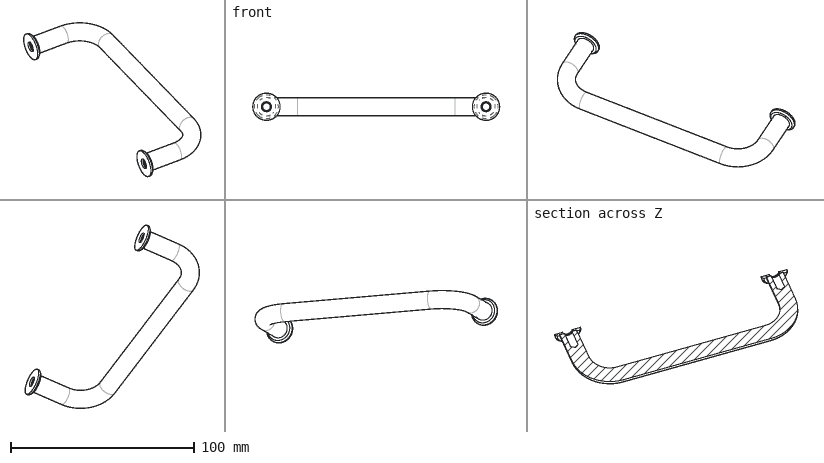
import cadquery as cq
import math

foot_spacing = 120.0
bar_diameter = 10.0
bend_radius = 17.0
overall_depth = 43.0

washer_diameter = 15.0
washer_thickness = 2.0
washer_chamfer = 1.0
washer_bore = 5.5
washer_recess_depth = 1.0

thread_diameter = 5.0
thread_core_diameter = 4.134
screw_hole_depth = 10.0
drill_point_angle = 118.0

foot_x = foot_spacing / 2
foot_positions = [-foot_x, foot_x]
foot_y = washer_thickness - washer_recess_depth
bar_y = overall_depth - bar_diameter / 2
bend_start_x = foot_x - bend_radius
bend_start_y = bar_y - bend_radius


def make_bent_bar():
    """Sweep the round bar section along the U-shaped centreline."""
    bend_mid_offset = bend_radius * math.sin(math.radians(45))
    bend_mid_x = bend_start_x + bend_mid_offset
    bend_mid_y = bend_start_y + bend_mid_offset
    centreline = (
        cq.Workplane("XY")
        .moveTo(-foot_x, foot_y)
        .lineTo(-foot_x, bend_start_y)
        .threePointArc((-bend_mid_x, bend_mid_y), (-bend_start_x, bar_y))
        .lineTo(bend_start_x, bar_y)
        .threePointArc((bend_mid_x, bend_mid_y), (foot_x, bend_start_y))
        .lineTo(foot_x, foot_y)
    )
    section = cq.Workplane("XZ", origin=(-foot_x, foot_y, 0)).circle(bar_diameter / 2)
    return section.sweep(centreline)


def make_screw_hole(x):
    """Countersunk hole volume with a conical end, running in +Y from the foot face."""
    mouth_radius = thread_diameter / 2
    core_radius = thread_core_diameter / 2
    countersink_depth = mouth_radius - core_radius
    point_length = core_radius / math.tan(math.radians(drill_point_angle / 2))
    return (
        cq.Workplane("XY")
        .polyline([
            (0, 0),
            (mouth_radius, 0),
            (core_radius, countersink_depth),
            (core_radius, screw_hole_depth),
            (0, screw_hole_depth + point_length),
        ])
        .close()
        .revolve(360, (0, 0, 0), (0, 1, 0))
        .translate((x, foot_y, 0))
    )


def make_handle():
    """Bent bar with a screw hole in each foot."""
    bar = make_bent_bar()
    for x in foot_positions:
        bar = bar.cut(make_screw_hole(x))
    return bar


def make_disc(x, diameter, start_y, end_y):
    """Round disc on a foot axis between two Y positions."""
    return (
        cq.Workplane("XZ", origin=(x, start_y, 0))
        .circle(diameter / 2)
        .extrude(start_y - end_y)
    )


def make_washer(x):
    """Washer with a screw bore, a recess for the foot and a chamfered rim on the bar side."""
    blank = make_disc(x, washer_diameter, 0, washer_thickness)
    blank = blank.faces(">Y").chamfer(washer_chamfer)
    recess = make_disc(x, bar_diameter, foot_y, washer_thickness)
    bore = make_disc(x, washer_bore, 0, washer_thickness)
    return blank.cut(recess).cut(bore)


handle = make_handle()
washers = [make_washer(x) for x in foot_positions]

result = cq.Compound.makeCompound([handle.val(), *[washer.val() for washer in washers]])